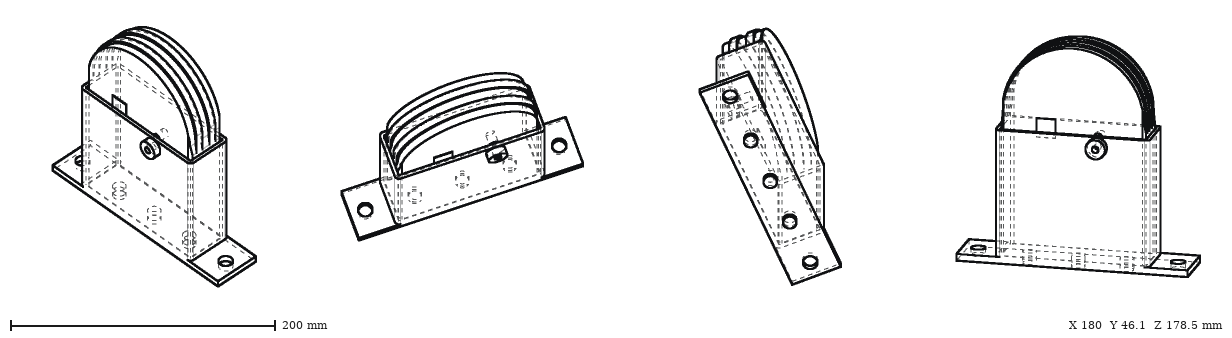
import cadquery as cq
import math

plate_length = 180.0
plate_width = 40.0
plate_thickness = 5.4
plate_hole_diameter = 11.0
plate_hole_spacing = 155.5
box_length = 120.0
box_top = 105.5
box_wall = 3.0
box_corner_radius = 3.5
cavity_length = box_length - 2 * box_wall
cavity_width = plate_width - 2 * box_wall

boss_diameter = 15.1
boss_height = 6.1
boss_bore = 5.0
boss_x = 19.6
boss_z = box_top - 8.1

pin_count = 3
pin_diameter = 10.3
pin_spacing = 38.0
pin_projection = 3.6

overall_height = 178.5
shoe_top = overall_height - pin_projection
shoe_length = 112.7
shoe_width = 33.0
shoe_chamfer = 2.3
ridge_radius = 56.9
ridge_width = 6.1
ridge_spacing = 13.7
groove_depth = 1.8
ramp_height = 9.5
nose_radius = ridge_radius - groove_depth
nose_center_z = shoe_top - ridge_radius
lock_hole_diameter = 7.0
lock_hole_depth = 9.0
lock_hole_z = boss_z + 6.5
mark_size = 15.0
mark_depth = 0.4
mark_x = -21.0
mark_top = box_top + 10.6


def make_pins(start_z, end_z):
    """Row of upright pins along X, each one a separate solid."""
    pins = []
    for index in range(pin_count):
        x = (index - (pin_count - 1) / 2) * pin_spacing
        pin = cq.Workplane("XY", origin=(x, 0, start_z)).circle(pin_diameter / 2).extrude(end_z - start_z)
        pins.append(pin.val())
    return pins


def make_housing():
    """Flanged base plate, open-topped box and bored boss in one piece."""
    front_y = -plate_width / 2
    plate = cq.Workplane("XY").box(plate_length, plate_width, plate_thickness, centered=(True, True, False))
    box = (
        cq.Workplane("XY")
        .box(box_length, plate_width, box_top, centered=(True, True, False))
        .edges("|Z")
        .fillet(box_corner_radius)
    )
    boss = (
        cq.Workplane("XZ", origin=(boss_x, front_y, boss_z))
        .circle(boss_diameter / 2)
        .extrude(boss_height)
    )
    cavity = (
        cq.Workplane("XY", origin=(0, 0, plate_thickness))
        .rect(cavity_length, cavity_width)
        .extrude(box_top - plate_thickness)
    )
    bore = (
        cq.Workplane("XZ", origin=(boss_x, front_y + box_wall, boss_z))
        .circle(boss_bore / 2)
        .extrude(box_wall + boss_height)
    )
    mounting_holes = (
        cq.Workplane("XY")
        .pushPoints([(-plate_hole_spacing / 2, 0), (plate_hole_spacing / 2, 0)])
        .circle(plate_hole_diameter / 2)
        .extrude(plate_thickness)
    )
    housing = plate.union(box).union(boss).cut(cavity).cut(bore).cut(mounting_holes)
    for pin in make_pins(0, plate_thickness):
        housing = housing.cut(cq.Workplane(obj=pin))
    return housing


def make_slab(outline, width):
    """Extrude an XZ outline to the given width, centred on Y = 0."""
    return outline.extrude(width / 2, both=True)


def make_shoe_core():
    """Full-width body: straight sides, ramps to the smaller nose, half-round top."""
    half_length = shoe_length / 2
    ramp_foot_z = nose_center_z - ramp_height
    outline = (
        cq.Workplane("XZ")
        .moveTo(-half_length, plate_thickness)
        .lineTo(half_length, plate_thickness)
        .lineTo(half_length, ramp_foot_z)
        .lineTo(nose_radius, nose_center_z)
        .threePointArc((0, nose_center_z + nose_radius), (-nose_radius, nose_center_z))
        .lineTo(-half_length, ramp_foot_z)
        .close()
    )
    return make_slab(outline, shoe_width)


def make_ridge(y):
    """One raised rib whose straight sides run into a larger arc."""
    half_length = shoe_length / 2
    shoulder_z = nose_center_z + math.sqrt(ridge_radius**2 - half_length**2)
    outline = (
        cq.Workplane("XZ")
        .moveTo(-half_length, plate_thickness)
        .lineTo(half_length, plate_thickness)
        .lineTo(half_length, shoulder_z)
        .threePointArc((0, shoe_top), (-half_length, shoulder_z))
        .close()
    )
    return make_slab(outline, ridge_width).translate((0, y, 0))


def make_shoe():
    """Sliding shoe with a blind lock hole and a shallow square mark in its front face."""
    chamfered_block = (
        cq.Workplane("XY", origin=(0, 0, plate_thickness))
        .rect(shoe_length, shoe_width)
        .extrude(shoe_top - plate_thickness)
        .edges("|Z")
        .chamfer(shoe_chamfer)
    )
    shoe = make_shoe_core().intersect(chamfered_block)
    for side in (-1, 1):
        shoe = shoe.union(make_ridge(side * ridge_spacing / 2))

    front_y = -shoe_width / 2
    lock_hole = (
        cq.Workplane("XZ", origin=(boss_x, front_y + lock_hole_depth, lock_hole_z))
        .circle(lock_hole_diameter / 2)
        .extrude(lock_hole_depth)
    )
    mark = (
        cq.Workplane("XZ", origin=(mark_x, front_y + mark_depth, mark_top - mark_size / 2))
        .rect(mark_size, mark_size)
        .extrude(mark_depth)
    )
    return shoe.cut(lock_hole).cut(mark)


housing = make_housing()
shoe = make_shoe()
pins = make_pins(-pin_projection, plate_thickness)

result = cq.Compound.makeCompound([housing.val(), shoe.val(), *pins])